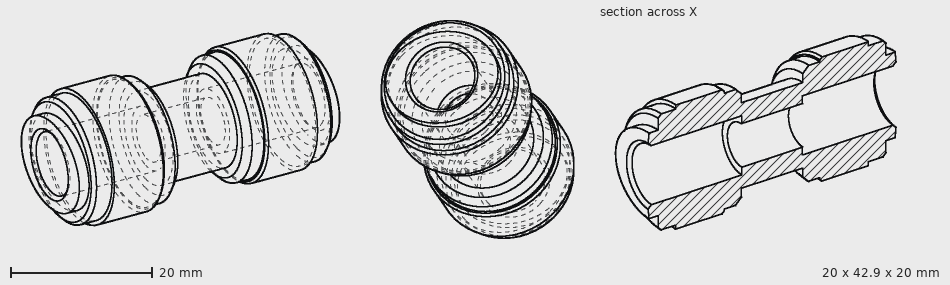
import cadquery as cq

length = 42.9
half_length = length / 2

neck_radius = 6.9
neck_half_length = 5.28
body_radius = 9.35
body_end = 19.75
body_inner_chamfer = 1.05
body_outer_chamfer = 0.55

sleeve_radius = 10.0
sleeve_start = 8.25
sleeve_end = 16.65
sleeve_chamfer = 0.4

collar_half_width = 8.2
collar_half_height = neck_radius
crown_height = 0.15

through_radius = 3.47
socket_radius = 4.7
socket_chamfer = 0.55
socket_rim_radius = socket_radius + socket_chamfer
socket_depth = half_length - neck_half_length


def cylinder(radius, start, end):
    """Cylinder along +Y between two Y positions."""
    plane = cq.Workplane("XZ", origin=(0, start, 0))
    return plane.circle(radius).extrude(start - end)


def fitting_body():
    body = cylinder(body_radius, neck_half_length, body_end)
    body = body.faces("<Y").chamfer(body_inner_chamfer)
    return body.faces(">Y").chamfer(body_outer_chamfer)


def sleeve():
    return cylinder(sleeve_radius, sleeve_start, sleeve_end).faces("<Y").chamfer(sleeve_chamfer)


def collar():
    crown_start = half_length - crown_height
    base = (
        cq.Workplane("XZ", origin=(0, body_end, 0))
        .ellipse(collar_half_width, collar_half_height)
        .extrude(body_end - crown_start)
    )
    crown = (
        cq.Workplane("XZ", origin=(0, crown_start, 0))
        .ellipse(collar_half_width, collar_half_height)
        .workplane(offset=-crown_height)
        .circle(socket_rim_radius)
        .loft(ruled=True)
    )
    return base.union(crown)


def socket():
    cutter = cylinder(socket_radius, half_length - socket_depth, half_length)
    lead_in = cq.Workplane("XZ", origin=(0, half_length, 0)).circle(socket_rim_radius)
    lead_in = lead_in.workplane(offset=socket_chamfer).circle(socket_radius).loft(ruled=True)
    return cutter.union(lead_in)


half = fitting_body().union(sleeve()).union(collar()).cut(socket())
neck = cylinder(neck_radius, -neck_half_length, neck_half_length)
through_hole = cylinder(through_radius, -half_length, half_length)

result = neck.union(half).union(half.mirror("XZ")).cut(through_hole)